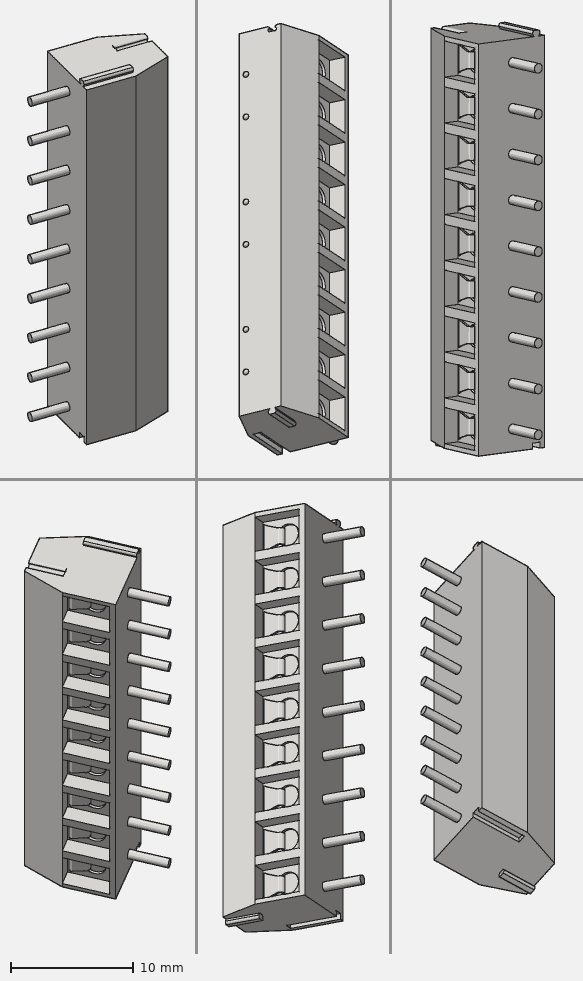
import cadquery as cq
import math

POLE_COUNT = 9
PITCH = 3.81
LENGTH = POLE_COUNT * PITCH

WIDTH = 6.8
HALF_WIDTH = WIDTH / 2
HEIGHT = 8.3
SHOULDER_Y = 4.6
SHOULDER_INSET = 1.4

PIN_DIAMETER = 0.8
PIN_LENGTH = 3.5
PIN_X = 0.1

POCKET_DEPTH = 1.4
POCKET_HEIGHT = 3.0
POCKET_BOTTOM_Y = 0.65
POCKET_MOUTH_Y = 0.53
POCKET_FLOOR_X = -HALF_WIDTH + POCKET_DEPTH

RECESS_DIAMETER = 1.92
RECESS_DEPTH = 0.25
RECESS_Y = SHOULDER_Y - 2.32

TONGUE_PROUD = 0.2
TONGUE_ROUND = TONGUE_PROUD + RECESS_DEPTH
TONGUE_TOP_Y = SHOULDER_Y
TONGUE_FLARE_Y = SHOULDER_Y - 0.5
TONGUE_NECK_Y = SHOULDER_Y - 1.48
TONGUE_END_Y = TONGUE_NECK_Y - TONGUE_ROUND
TONGUE_TOP_WIDTH = 2.7
TONGUE_FLARE_WIDTH = 2.13
TONGUE_NECK_WIDTH = 1.42

RAIL_HEIGHT = 0.5
RAIL_NECK_WIDTH = 0.5
RAIL_HEAD_WIDTH = 0.75
RAIL_CREST_WIDTH = 0.5
RAIL_KNEE_HEIGHT = 0.22
FRONT_RAIL_X = 2.55
FRONT_RAIL_LENGTH = 4.6
BACK_RAIL_X = -1.17
BACK_RAIL_LENGTH = 3.1

GROOVE_DEPTH = RAIL_HEIGHT
FRONT_GROOVE_WIDTH = RAIL_HEAD_WIDTH
BACK_GROOVE_LENGTH = 3.2
BACK_GROOVE_WAIST_WIDTH = 0.56
BACK_GROOVE_LIP_RADIUS = 0.2
BACK_GROOVE_MOUTH_WIDTH = BACK_GROOVE_WAIST_WIDTH + 2 * BACK_GROOVE_LIP_RADIUS
BACK_GROOVE_UNDERCUT = 0.12

DOME_GROUP = 3
DOME_RADIUS = 0.25
DOME_X = 1.33


def box(x_range, y_range, z_range):
    """Axis-aligned block between pairs of limits."""
    sizes = [high - low for low, high in (x_range, y_range, z_range)]
    corner = (x_range[0], y_range[0], z_range[0])
    return cq.Workplane("XY").box(*sizes, centered=False).translate(corner)


def centred(middle, size):
    """Limits of a span of the given size about its middle."""
    return (middle - size / 2, middle + size / 2)


def housing():
    """Long block with both +Y edges sloped."""
    ridge_x = HALF_WIDTH - SHOULDER_INSET
    return (
        cq.Workplane("XY")
        .moveTo(-HALF_WIDTH, 0)
        .lineTo(HALF_WIDTH, 0)
        .lineTo(HALF_WIDTH, SHOULDER_Y)
        .lineTo(ridge_x, HEIGHT)
        .lineTo(-ridge_x, HEIGHT)
        .lineTo(-HALF_WIDTH, SHOULDER_Y)
        .close()
        .extrude(LENGTH)
    )


def pocket(pole_z):
    """Wire entry with a slightly drafted lower wall."""
    return (
        cq.Workplane("XY", origin=(0, 0, pole_z))
        .moveTo(-HALF_WIDTH, POCKET_MOUTH_Y)
        .lineTo(POCKET_FLOOR_X, POCKET_BOTTOM_Y)
        .lineTo(POCKET_FLOOR_X, SHOULDER_Y)
        .lineTo(-HALF_WIDTH, SHOULDER_Y)
        .close()
        .extrude(POCKET_HEIGHT / 2, both=True)
    )


def recess(pole_z):
    """Shallow round recess in the pocket floor."""
    return (
        cq.Workplane("YZ", origin=(POCKET_FLOOR_X, RECESS_Y, pole_z))
        .circle(RECESS_DIAMETER / 2)
        .extrude(RECESS_DEPTH)
    )


def tongue(pole_z):
    """Tapered strip, rounded down at the +Y end and curled into the recess at the -Y end."""
    face_x = POCKET_FLOOR_X - TONGUE_PROUD
    root_x = POCKET_FLOOR_X + RECESS_DEPTH
    arc_rise = math.sqrt(0.5) * TONGUE_ROUND
    round_top_y = TONGUE_FLARE_Y + TONGUE_ROUND
    side = (
        cq.Workplane("XY", origin=(0, 0, pole_z))
        .moveTo(root_x, round_top_y)
        .threePointArc((root_x - arc_rise, TONGUE_FLARE_Y + arc_rise), (face_x, TONGUE_FLARE_Y))
        .lineTo(face_x, TONGUE_NECK_Y)
        .threePointArc((root_x - arc_rise, TONGUE_NECK_Y - arc_rise), (root_x, TONGUE_END_Y))
        .close()
        .extrude(TONGUE_TOP_WIDTH / 2, both=True)
    )
    outline = (
        cq.Workplane("YZ", origin=(face_x, 0, pole_z))
        .moveTo(TONGUE_END_Y, TONGUE_NECK_WIDTH / 2)
        .lineTo(TONGUE_NECK_Y, TONGUE_NECK_WIDTH / 2)
        .lineTo(TONGUE_FLARE_Y, TONGUE_FLARE_WIDTH / 2)
        .lineTo(TONGUE_TOP_Y, TONGUE_TOP_WIDTH / 2)
        .lineTo(TONGUE_TOP_Y, -TONGUE_TOP_WIDTH / 2)
        .lineTo(TONGUE_FLARE_Y, -TONGUE_FLARE_WIDTH / 2)
        .lineTo(TONGUE_NECK_Y, -TONGUE_NECK_WIDTH / 2)
        .lineTo(TONGUE_END_Y, -TONGUE_NECK_WIDTH / 2)
        .close()
        .extrude(TONGUE_ROUND)
    )
    return side.intersect(outline)


def pin(pole_z):
    """Solder pin standing out of the pin face."""
    return (
        cq.Workplane("XZ", origin=(PIN_X, 0, pole_z))
        .circle(PIN_DIAMETER / 2)
        .extrude(PIN_LENGTH)
    )


def dome(dome_z):
    """Small hemisphere standing on the +Y face."""
    return cq.Workplane("XY", origin=(DOME_X, HEIGHT, dome_z)).sphere(DOME_RADIUS)


def end_profile(middle_x, end_z, low_y):
    """Sketch plane square to Y, with its local X along -X, its local Y along +Z."""
    plane = cq.Plane(origin=(middle_x, low_y, end_z), xDir=(-1, 0, 0), normal=(0, 1, 0))
    return cq.Workplane(plane)


def rail(middle_x, end_z, outward, low_y, length):
    """Dovetail rail with a rounded head; outward is +1 or -1 along Z."""
    neck_x = RAIL_NECK_WIDTH / 2
    head_x = RAIL_HEAD_WIDTH / 2
    crest_x = RAIL_CREST_WIDTH / 2
    round_x = head_x - crest_x
    round_z = RAIL_HEIGHT - RAIL_KNEE_HEIGHT
    bulge = math.sqrt(0.5)
    bulge_x = crest_x + round_x * bulge
    bulge_z = outward * (RAIL_KNEE_HEIGHT + round_z * bulge)
    knee_z = outward * RAIL_KNEE_HEIGHT
    crest_z = outward * RAIL_HEIGHT
    return (
        end_profile(middle_x, end_z, low_y)
        .moveTo(-neck_x, 0)
        .lineTo(-head_x, knee_z)
        .threePointArc((-bulge_x, bulge_z), (-crest_x, crest_z))
        .lineTo(crest_x, crest_z)
        .threePointArc((bulge_x, bulge_z), (head_x, knee_z))
        .lineTo(neck_x, 0)
        .close()
        .extrude(length)
    )


def front_groove():
    """Plain slot in the -Z end, in line with the front rail."""
    x_range = centred(FRONT_RAIL_X, FRONT_GROOVE_WIDTH)
    return box(x_range, (0, FRONT_RAIL_LENGTH), (0, GROOVE_DEPTH))


def back_groove():
    """Slot in the +Z end, in line with the back rail, with rounded lips and hollow sides."""
    mouth_x = BACK_GROOVE_MOUTH_WIDTH / 2
    waist_x = BACK_GROOVE_WAIST_WIDTH / 2
    hollow_x = waist_x + BACK_GROOVE_UNDERCUT
    turn = BACK_GROOVE_LIP_RADIUS * (1 - math.sqrt(0.5))
    waist_z = -BACK_GROOVE_LIP_RADIUS
    hollow_z = (waist_z - GROOVE_DEPTH) / 2
    return (
        end_profile(BACK_RAIL_X, LENGTH, HEIGHT - BACK_GROOVE_LENGTH)
        .moveTo(-mouth_x, 0)
        .threePointArc((-waist_x - turn, -turn), (-waist_x, waist_z))
        .threePointArc((-hollow_x, hollow_z), (-waist_x, -GROOVE_DEPTH))
        .lineTo(waist_x, -GROOVE_DEPTH)
        .threePointArc((hollow_x, hollow_z), (waist_x, waist_z))
        .threePointArc((waist_x + turn, -turn), (mouth_x, 0))
        .close()
        .extrude(BACK_GROOVE_LENGTH)
    )


result = housing().cut(front_groove()).cut(back_groove())
result = result.union(rail(FRONT_RAIL_X, LENGTH, 1, 0, FRONT_RAIL_LENGTH))
result = result.union(rail(BACK_RAIL_X, 0, -1, HEIGHT - BACK_RAIL_LENGTH, BACK_RAIL_LENGTH))

for pole in range(POLE_COUNT):
    pole_z = (pole + 0.5) * PITCH
    result = result.cut(pocket(pole_z)).cut(recess(pole_z))
    result = result.union(tongue(pole_z)).union(pin(pole_z))

for boundary in range(1, POLE_COUNT):
    if boundary % DOME_GROUP != 0:
        result = result.union(dome(boundary * PITCH))